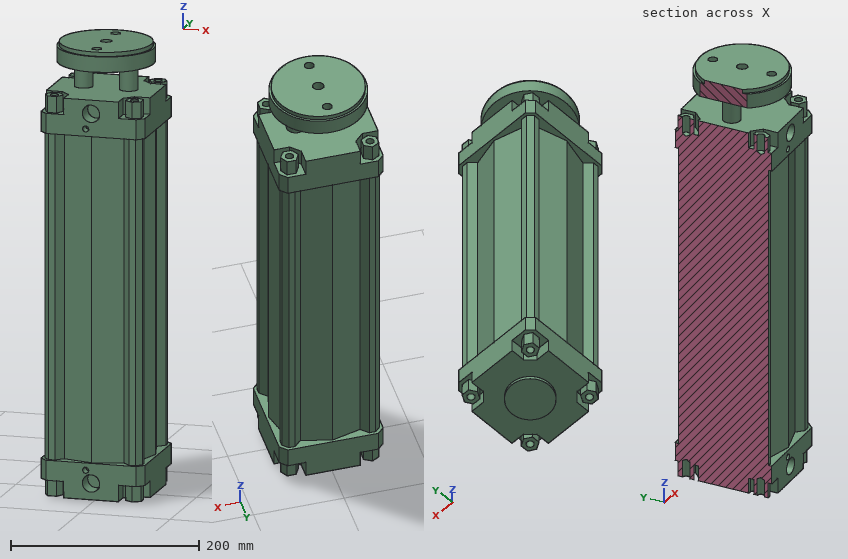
import cadquery as cq
import math

cap_side = 115.0
cap_height = 40.0
cap_chamfer = 7.5
barrel_length = 358.0
body_height = barrel_length + 2 * cap_height

barrel_half = 54.0
post_chamfer = 6.0
ridge_half = 54.75
post_inner = 41.0
post_step = 8.0

pocket_depth = 18.0
pocket_inner = 30.2
pocket_corner = 10.0
nut_offset = 44.5
nut_across_flats = 17.0
nut_across_corners = nut_across_flats / math.cos(math.radians(30))
nut_hole_diameter = 8.5
nut_hole_depth = 20.0
drill_point_angle = 118.0

port_diameter = 19.0
port_depth = 20.0
lower_port_z = 18.0
upper_port_z = body_height - 15.0
screw_diameter = 6.5
screw_depth = 12.0
screw_x = -6.0
screw_from_barrel = 8.0

boss_diameter = 55.0
boss_height = 4.0

rod_diameter = 20.0
rod_pitch = 50.0
rod_exposed = 29.5
plate_diameter = 105.0
plate_top_diameter = 100.0
plate_thickness = 21.5
plate_step = 4.5
plate_center_hole = 11.84
plate_side_hole = 10.11
plate_side_hole_pitch = 70.0


def make_barrel():
    """Extruded profile: one side's points, turned to each of the four sides."""
    side = [
        (-(barrel_half - post_chamfer), -barrel_half),
        (-post_inner, -barrel_half),
        (-(post_inner - post_step), -(barrel_half - post_step)),
        (0, -ridge_half),
        (post_inner - post_step, -(barrel_half - post_step)),
        (post_inner, -barrel_half),
        (barrel_half - post_chamfer, -barrel_half),
    ]
    outline = []
    for _ in range(4):
        outline.extend(side)
        side = [(-y, x) for x, y in side]
    return cq.Workplane("XY").workplane(offset=cap_height).polyline(outline).close().extrude(barrel_length)


def make_pocket_cutter():
    """Open corner pocket with a chamfered inner corner, cut down from the cap face."""
    pocket_side = cap_side / 2 - pocket_inner
    return (
        cq.Workplane("XY", origin=(pocket_inner, pocket_inner, cap_height - pocket_depth))
        .rect(pocket_side, pocket_side, centered=False)
        .extrude(pocket_depth)
        .edges("|Z and <X and <Y")
        .chamfer(pocket_corner)
    )


def make_nut():
    """Tie-rod nut in the +X +Y corner, level with the cap face, corners along X."""
    return (
        cq.Workplane("XY", origin=(nut_offset, nut_offset, cap_height - pocket_depth))
        .polygon(6, nut_across_corners)
        .extrude(pocket_depth)
    )


def make_nut_hole():
    """Blind drilled hole with a conical end, opening at the nut's outer face."""
    radius = nut_hole_diameter / 2
    point_height = radius / math.tan(math.radians(drill_point_angle / 2))
    return (
        cq.Workplane("XZ")
        .polyline([(0, 0), (radius, 0), (radius, -nut_hole_depth), (0, -nut_hole_depth - point_height)])
        .close()
        .revolve(360, (0, 0, 0), (0, 1, 0))
        .translate((nut_offset, nut_offset, cap_height))
    )


def make_cap():
    """End cap with its barrel face at z = 0 and its outer face at z = cap_height."""
    cap = (
        cq.Workplane("XY")
        .rect(cap_side, cap_side)
        .extrude(cap_height)
        .edges("|Z")
        .chamfer(cap_chamfer)
    )
    pocket = make_pocket_cutter()
    nut = make_nut()
    hole = make_nut_hole()
    for corner in range(4):
        axis = ((0, 0, 0), (0, 0, 1), 90 * corner)
        cap = cap.cut(pocket.rotate(*axis)).union(nut.rotate(*axis)).cut(hole.rotate(*axis))
    return cap


def make_front_hole(x, z, diameter, depth):
    """Cutter for a flat-bottomed hole going in from the -Y face."""
    return cq.Workplane("XZ", origin=(x, -cap_side / 2, z)).circle(diameter / 2).extrude(-depth)


def make_cylinder_body():
    """Barrel, both caps with their nuts, the ports and the locating boss."""
    cap = make_cap()
    upper_cap = cap.translate((0, 0, body_height - cap_height))
    lower_cap = cap.mirror("XY").translate((0, 0, cap_height))
    boss = cq.Workplane("XY").circle(boss_diameter / 2).extrude(-boss_height)
    body = make_barrel().union(upper_cap).union(lower_cap).union(boss)

    for port_z in (lower_port_z, upper_port_z):
        body = body.cut(make_front_hole(0, port_z, port_diameter, port_depth))

    lower_screw_z = cap_height - screw_from_barrel
    upper_screw_z = body_height - cap_height + screw_from_barrel
    for screw_z in (lower_screw_z, upper_screw_z):
        body = body.cut(make_front_hole(screw_x, screw_z, screw_diameter, screw_depth))
    return body


def make_rod_plate():
    """Twin rods standing on the upper cap face and the drilled end plate above them."""
    plate_z = body_height + rod_exposed
    rods = (
        cq.Workplane("XY", origin=(0, 0, body_height))
        .pushPoints([(-rod_pitch / 2, 0), (rod_pitch / 2, 0)])
        .circle(rod_diameter / 2)
        .extrude(rod_exposed)
    )
    plate = (
        cq.Workplane("XY", origin=(0, 0, plate_z))
        .circle(plate_diameter / 2)
        .extrude(plate_thickness - plate_step)
        .faces(">Z")
        .workplane()
        .circle(plate_top_diameter / 2)
        .extrude(plate_step)
    )
    plate = plate.faces(">Z").workplane().hole(plate_center_hole)
    plate = (
        plate.faces(">Z")
        .workplane()
        .pushPoints([(0, -plate_side_hole_pitch / 2), (0, plate_side_hole_pitch / 2)])
        .hole(plate_side_hole)
    )
    return plate.union(rods)


cylinder_body = make_cylinder_body()
rod_plate = make_rod_plate()

result = cq.Compound.makeCompound([cylinder_body.val(), rod_plate.val()])